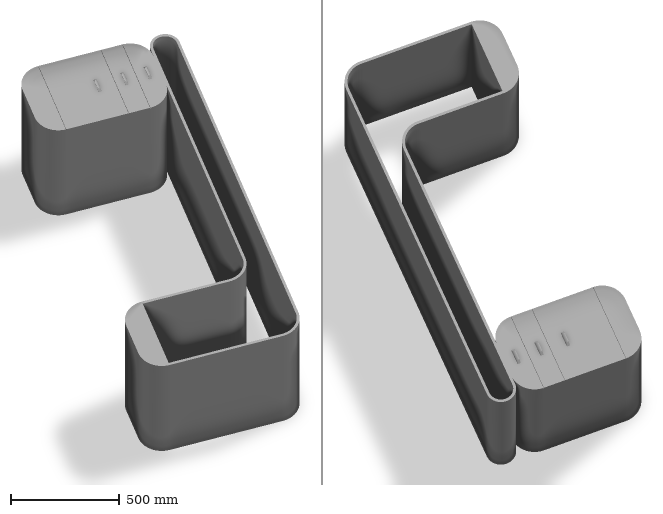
import cadquery as cq

LENGTH = 1911.0
DEPTH = 782.0
HEIGHT = 610.0

LEG_WIDTH = 405.0
BACK_WIDTH = 141.0
WALL = 13.0
CORNER_RADIUS = 115.0
BACK_FRONT_Y = DEPTH - BACK_WIDTH
LEG_LEFT_X = LENGTH - LEG_WIDTH
FOOT_DEPTH = CORNER_RADIUS

SEAM_WIDTH = 2.0
SEAM_DEPTH = 5.0
SEAM_YS = [FOOT_DEPTH, 420.0, BACK_FRONT_Y - CORNER_RADIUS]

HANDLE_LENGTH = 78.0
HANDLE_CENTER_X = 200.0
HANDLE_DEPTH = 15.0
HANDLE_HEIGHT = 13.0
HANDLE_END_SLOPE = 15.0
HANDLE_WALL = 2.9
HANDLE_FRONT_YS = [329.0, 460.0, 575.0]


def block(x_min, x_max, y_min, y_max):
    """Full-height block between the given plan limits."""
    return (
        cq.Workplane("XY")
        .box(x_max - x_min, y_max - y_min, HEIGHT, centered=False)
        .translate((x_min, y_min, 0))
    )


def channel(inset):
    """Full-height L-shaped solid, moved in from the outer faces of the walls by inset.

    The back channel has a round left end and the leg runs down to y = FOOT_DEPTH.
    """
    left, right = inset, LENGTH - inset
    back, front = DEPTH - inset, BACK_FRONT_Y + inset
    leg_left = LEG_LEFT_X + inset
    end_radius = (back - front) / 2
    outside_radius = CORNER_RADIUS - inset
    inside_radius = CORNER_RADIUS - WALL + inset

    outline = (
        cq.Workplane("XY")
        .moveTo(leg_left, FOOT_DEPTH)
        .lineTo(right, FOOT_DEPTH)
        .lineTo(right, back - outside_radius)
        .radiusArc((right - outside_radius, back), -outside_radius)
        .lineTo(left + end_radius, back)
        .radiusArc((left, back - end_radius), -end_radius)
        .radiusArc((left + end_radius, front), -end_radius)
        .lineTo(leg_left - inside_radius, front)
        .radiusArc((leg_left, front - inside_radius), inside_radius)
        .close()
    )
    return outline.extrude(HEIGHT)


def make_foot():
    """Solid end of the right leg, with its two front corners rounded."""
    foot = block(LEG_LEFT_X, LENGTH, 0, 2 * CORNER_RADIUS).edges("|Z and <Y").fillet(CORNER_RADIUS)
    return foot.intersect(block(LEG_LEFT_X, LENGTH, 0, FOOT_DEPTH))


def make_pedestal():
    """Solid drawer pedestal with narrow seams across its top."""
    pedestal = block(0, LEG_WIDTH, 0, BACK_FRONT_Y).edges("|Z").fillet(CORNER_RADIUS)
    for seam_y in SEAM_YS:
        seam = (
            cq.Workplane("XY")
            .box(LEG_WIDTH, SEAM_WIDTH, SEAM_DEPTH, centered=(False, True, False))
            .translate((0, seam_y, HEIGHT - SEAM_DEPTH))
        )
        pedestal = pedestal.cut(seam)
    return pedestal


def make_desk():
    """Channel walls, foot and pedestal as one solid; the pedestal joins the channel by its flat back."""
    walls = channel(0).cut(channel(WALL))
    return walls.union(make_foot()).union(make_pedestal()).solids()


def cup_form(length, depth, height):
    """Quarter-oval bar on z = 0, highest at its front face y = 0, with ends leaning inward."""
    profile = (
        cq.Workplane("YZ")
        .lineTo(depth, 0)
        .ellipseArc(depth, height, 0, 90, startAtCurrent=True)
        .close()
        .extrude(length)
        .translate((-length / 2, 0, 0))
    )
    trapezoid = (
        cq.Workplane("XZ")
        .moveTo(-length / 2, 0)
        .lineTo(length / 2, 0)
        .lineTo(length / 2 - HANDLE_END_SLOPE, height)
        .lineTo(HANDLE_END_SLOPE - length / 2, height)
        .close()
        .extrude(-depth)
    )
    return profile.intersect(trapezoid)


def make_handle(front_y):
    """Thin-walled cup handle, open toward the front and the drawer."""
    outside = cup_form(HANDLE_LENGTH, HANDLE_DEPTH, HANDLE_HEIGHT)
    inside = cup_form(
        HANDLE_LENGTH - 2 * HANDLE_WALL, HANDLE_DEPTH - HANDLE_WALL, HANDLE_HEIGHT - HANDLE_WALL
    )
    return outside.cut(inside).translate((HANDLE_CENTER_X, front_y, HEIGHT)).solids()


desk = make_desk()
handles = [make_handle(front_y) for front_y in HANDLE_FRONT_YS]

result = cq.Compound.makeCompound([desk.val(), *[handle.val() for handle in handles]])